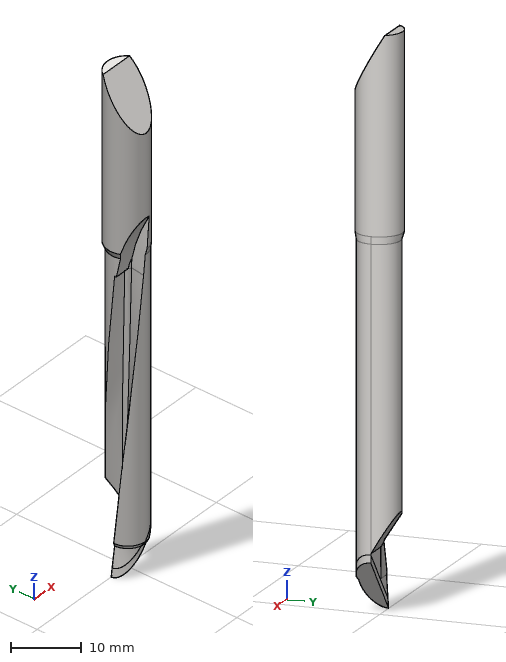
import cadquery as cq
import math

length = 85.5
handle_radius = 3.5
slant_angle = 60.0
top_flat_edge = 1.9
step_top = 56.1
step_bottom = 55.0

shaft_radius = 3.25
shaft_offset = handle_radius - shaft_radius
back_end = 9.75

nose_step_top = 5.6
nose_step_bottom = 5.0
nose_radius = 3.0
nose_end_offset = nose_radius - handle_radius

flute_bottom = 5.1
flute_top = 51.6
runout_top = 61.6
flute_opening = 78.0
flute_twist = 82.0
core_radius = 0.8
twist_rate = flute_twist / (flute_top - flute_bottom)
runout_wall_angle = 180 + flute_twist
ramp_start_depth = 0.5
ramp_middle_depth = 1.4
ramp_middle_z = 55.8
runout_opening = 150.0

cut_height = 8.4
plate_height = 1.2

reach = 2 * handle_radius


def disc(radius, x, z):
    return cq.Workplane("XY", origin=(x, 0, z)).circle(radius)


def tapered(bottom_radius, bottom_x, bottom_z, top_radius, top_x, top_z):
    """Loft between two level circles."""
    bottom = cq.Wire.makeCircle(bottom_radius, cq.Vector(bottom_x, 0, bottom_z), cq.Vector(0, 0, 1))
    top = cq.Wire.makeCircle(top_radius, cq.Vector(top_x, 0, top_z), cq.Vector(0, 0, 1))
    return cq.Workplane(cq.Solid.makeLoft([bottom, top], True))


def side_prism(points):
    """Prism along X through a (Y, Z) polygon."""
    return cq.Workplane("YZ").polyline(points).close().extrude(reach, both=True)


def polar(radius, degrees):
    angle = math.radians(degrees)
    return radius * math.cos(angle), radius * math.sin(angle)


def twisted_sector(bottom_z, height, wall_angle, opening):
    """Sector outside the core, turning about the shaft axis as it rises."""
    middle_angle = wall_angle - opening / 2
    rear_angle = wall_angle - opening
    return (
        cq.Workplane("XY", origin=(shaft_offset, 0, bottom_z))
        .moveTo(*polar(core_radius, wall_angle))
        .lineTo(*polar(reach, wall_angle))
        .threePointArc(polar(reach, middle_angle), polar(reach, rear_angle))
        .lineTo(*polar(core_radius, rear_angle))
        .threePointArc(polar(core_radius, middle_angle), polar(core_radius, wall_angle))
        .close()
        .twistExtrude(height, twist_rate * height)
    )


def make_bar():
    """Handle, step, shaft and leaning nose, before any cuts."""
    handle = disc(handle_radius, 0, step_top).extrude(length - step_top)
    step = tapered(shaft_radius, shaft_offset, step_bottom, handle_radius, 0, step_top)
    shaft = disc(shaft_radius, shaft_offset, nose_step_top).extrude(step_bottom - nose_step_top)
    nose_step = tapered(
        nose_radius, shaft_offset, nose_step_bottom, shaft_radius, shaft_offset, nose_step_top
    )
    nose = tapered(nose_radius, nose_end_offset, 0, nose_radius, shaft_offset, nose_step_bottom)
    return handle.union(step).union(shaft).union(nose_step).union(nose)


def top_slant():
    slope = math.tan(math.radians(slant_angle))
    low_z = length - slope * (top_flat_edge + reach)
    return side_prism([(top_flat_edge, length), (-reach, low_z), (-reach, length)])


def rear_cut():
    """Removes the rear half below a slanted end."""
    high_z = back_end + reach * math.tan(math.radians(slant_angle))
    return side_prism([(0, -reach), (0, back_end), (reach, high_z), (reach, -reach)])


def flute():
    return twisted_sector(flute_bottom, flute_top - flute_bottom, 180, flute_opening)


def flute_runout():
    """Continues the front wall upward while the rear wall curves out to the surface."""
    height = runout_top - flute_top
    sector = twisted_sector(flute_top, height, runout_wall_angle, runout_opening)
    ramp = (
        cq.Workplane("YZ")
        .moveTo(-ramp_start_depth, flute_top)
        .threePointArc((-ramp_middle_depth, ramp_middle_z), (-handle_radius, runout_top))
        .lineTo(-reach, runout_top)
        .lineTo(-reach, flute_top)
        .close()
        .extrude(reach, both=True)
    )
    return sector.intersect(ramp)


def below_slope(rise):
    """Region below the end face plane raised by the given height."""
    slope = cut_height / (2 * handle_radius)
    left_z = rise - slope * (reach - handle_radius)
    right_z = rise + slope * (reach + handle_radius)
    return (
        cq.Workplane("XZ")
        .polyline([(-reach, left_z), (reach, right_z), (reach, -reach), (-reach, -reach)])
        .close()
        .extrude(reach, both=True)
    )


tool = make_bar().cut(top_slant()).cut(rear_cut()).cut(flute()).cut(flute_runout())
tool = tool.cut(below_slope(0))

body = tool.cut(below_slope(plate_height))
cutting_plate = tool.intersect(below_slope(plate_height))

result = cq.Compound.makeCompound([body.val(), cutting_plate.val()])